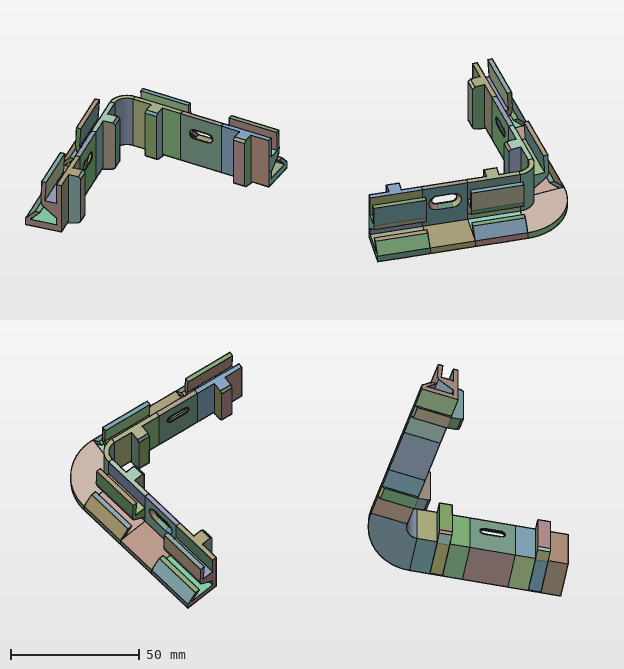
import cadquery as cq
import math


overall_length = 82.2
leg_angle = 82.0
bend_sweep = 180.0 - leg_angle
outer_radius = 20.0
plate_width = 15.0
inner_radius = outer_radius - plate_width
lean = math.radians(90.0 - leg_angle)
leg_length = (overall_length - outer_radius * (1 + math.sin(lean))) / math.cos(lean)
middle_length = 18.0
clip_length = (leg_length - middle_length) / 2

body_height = 22.0
plate_thickness = 3.0
wall_thickness = 2.0
wall_radius = inner_radius + wall_thickness

lip_height = 7.2
lip_base = 2.1
lip_tip_outer = 4.0
lip_tip_inner = 6.1

arm_root_height = 6.0
knee_height = 10.85
slot_floor_height = 13.15
knee_outer = 6.8
finger_foot_outer = 6.4
finger_foot_inner = 8.05
finger_tip_outer = 6.75
finger_tip_inner = 8.6

rib_width = 5.0
rib_depth = 5.0
rib_chamfer = 1.0
foot_depth = 1.0

slot_length = 10.0
slot_height = 4.0
slot_center_height = 14.1
countersink_margin = 1.6
countersink_depth = 1.6


def straight_body(points, start, length):
    """Solid with a (Y, Z) outline, running along X from start."""
    section = cq.Workplane("YZ").workplane(offset=start).polyline(points).close()
    return section.extrude(length)


def base_section():
    """Outline of the plate with its wall, as (Y, Z) points."""
    return [
        (inner_radius, 0),
        (outer_radius, 0),
        (outer_radius, plate_thickness),
        (wall_radius, plate_thickness),
        (wall_radius, body_height),
        (inner_radius, body_height),
    ]


def clip_section():
    """Outline of the plate, lip, finger and wall of a clip, as (Y, Z) points."""
    return [
        (inner_radius, 0),
        (outer_radius, 0),
        (outer_radius, plate_thickness),
        (outer_radius - lip_tip_outer, lip_height),
        (outer_radius - lip_tip_inner, lip_height),
        (outer_radius - lip_base, plate_thickness),
        (wall_radius, plate_thickness),
        (wall_radius, arm_root_height),
        (outer_radius - knee_outer, knee_height),
        (outer_radius - finger_foot_outer, slot_floor_height),
        (outer_radius - finger_tip_outer, body_height),
        (outer_radius - finger_tip_inner, body_height),
        (outer_radius - finger_foot_inner, slot_floor_height),
        (wall_radius, slot_floor_height),
        (wall_radius, body_height),
        (inner_radius, body_height),
    ]


def rib_section():
    """Outline of the rib and its foot, as (Y, Z) points."""
    rib_face = inner_radius - rib_depth
    return [
        (wall_radius, 0),
        (outer_radius, 0),
        (outer_radius - foot_depth, -foot_depth),
        (inner_radius, -foot_depth),
        (rib_face + rib_chamfer, 0),
        (rib_face, rib_chamfer),
        (rib_face, body_height - rib_chamfer),
        (rib_face + rib_chamfer, body_height),
        (wall_radius, body_height),
    ]


def make_clip(start):
    """Clip with its rib centred along its length."""
    rib_start = start + (clip_length - rib_width) / 2
    rib = straight_body(rib_section(), rib_start, rib_width)
    return straight_body(clip_section(), start, clip_length).union(rib).solids().val()


def slot_cutter(start):
    """Slot through the wall, widening towards the outer side."""
    face = cq.Workplane("XZ", origin=(start + middle_length / 2, wall_radius, slot_center_height))
    through = face.slot2D(slot_length, slot_height).extrude(wall_thickness)
    wide_length = slot_length + 2 * countersink_margin
    wide_height = slot_height + 2 * countersink_margin
    taper = math.degrees(math.atan2(countersink_margin, countersink_depth))
    countersink = face.slot2D(wide_length, wide_height).extrude(countersink_depth, taper=taper)
    return through.union(countersink)


def make_middle(start):
    """Plain block between the two clips of a leg."""
    block = straight_body(base_section(), start, middle_length)
    return block.cut(slot_cutter(start)).solids().val()


def make_corner():
    """Plate and wall swept round the bend, from the first leg to the second."""
    section = cq.Workplane("YZ").polyline(base_section()).close()
    return section.revolve(bend_sweep, (0, 0), (0, 1)).val()


def onto_second_leg(body):
    """Mirrored copy of a first-leg body, turned to the far end of the bend."""
    return body.mirror("YZ").rotate((0, 0, 0), (0, 0, 1), bend_sweep)


corner = make_corner()
clips = []
for clip_start in (0, clip_length + middle_length):
    clip = make_clip(clip_start)
    clips += [clip, onto_second_leg(clip)]

middle = make_middle(clip_length)
middles = [middle, onto_second_leg(middle)]

result = cq.Compound.makeCompound([corner, *clips, *middles])